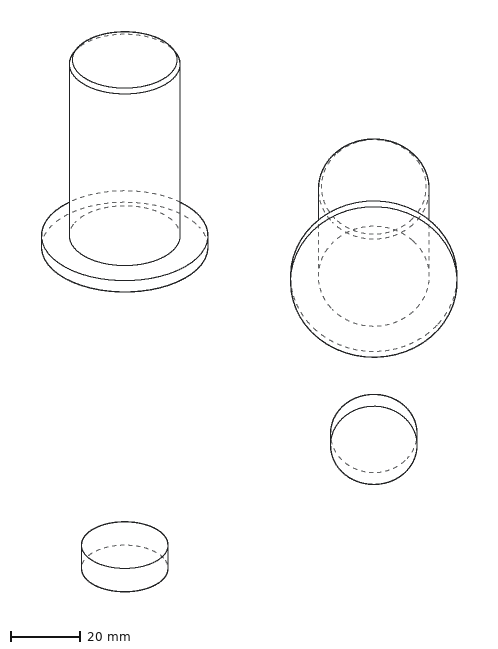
import cadquery as cq

TOTAL_HEIGHT = 178.5

FLANGE_DIAMETER = 48.0
FLANGE_THICKNESS = 4.0
SHANK_DIAMETER = 32.0
PIN_HEIGHT = 64.0
CHAMFER_WIDTH = 0.9
CHAMFER_HEIGHT = 1.5

TIP_DIAMETER = 25.0
TIP_HEIGHT = 12.5
CONE_HEIGHT = 4.5


def make_pin():
    """Round shank with a steep chamfer at its top edge, standing on a thin flange."""
    flange_bottom = TOTAL_HEIGHT - PIN_HEIGHT
    flange_top = flange_bottom + FLANGE_THICKNESS
    flange_radius = FLANGE_DIAMETER / 2
    shank_radius = SHANK_DIAMETER / 2
    half_profile = (
        cq.Workplane("XZ")
        .moveTo(0, flange_bottom)
        .lineTo(flange_radius, flange_bottom)
        .lineTo(flange_radius, flange_top)
        .lineTo(shank_radius, flange_top)
        .lineTo(shank_radius, TOTAL_HEIGHT - CHAMFER_HEIGHT)
        .lineTo(shank_radius - CHAMFER_WIDTH, TOTAL_HEIGHT)
        .lineTo(0, TOTAL_HEIGHT)
        .close()
    )
    return half_profile.revolve(360, (0, 0), (0, 1))


def make_tip():
    """Short disc with a downward cone, its point at the origin."""
    radius = TIP_DIAMETER / 2
    half_profile = (
        cq.Workplane("XZ")
        .moveTo(0, 0)
        .lineTo(radius, CONE_HEIGHT)
        .lineTo(radius, TIP_HEIGHT)
        .lineTo(0, TIP_HEIGHT)
        .close()
    )
    return half_profile.revolve(360, (0, 0), (0, 1))


pin = make_pin()
tip = make_tip()

result = cq.Compound.makeCompound([pin.val(), tip.val()])